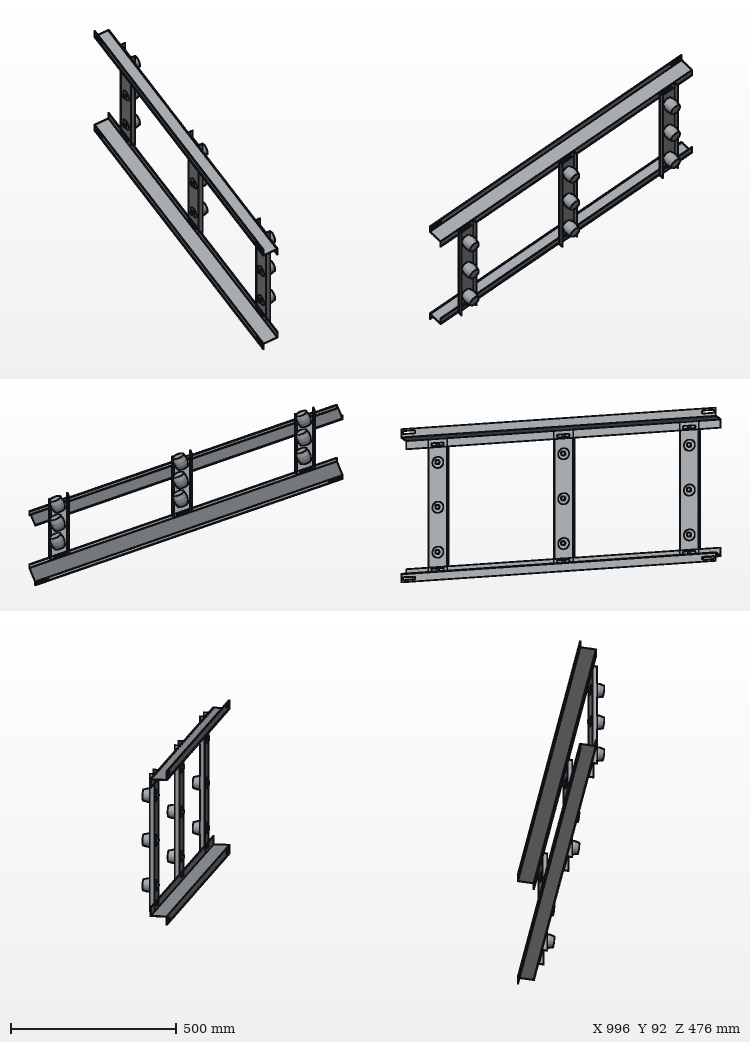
import cadquery as cq

rail_length = 996.0
frame_height = 476.0
frame_depth = 92.0
sheet = 2.0

rail_depth = 51.0
lip_height = 27.0
rail_height = 2 * lip_height - sheet
outer_edge_z = frame_height / 2
web_outer_z = outer_edge_z - lip_height + sheet
web_inner_z = outer_edge_z - lip_height
inner_edge_z = outer_edge_z - rail_height

slot_length = 40.0
slot_width = 9.0
bolt_hole_diameter = slot_width
end_slot_inset = 24.0
outer_slot_inset = 11.0
inner_slot_inset = 9.0
end_slot_x = rail_length / 2 - end_slot_inset
end_slot_z = outer_edge_z - outer_slot_inset
post_slot_z = inner_edge_z + inner_slot_inset

post_spacing = 398.0
post_width = 61.0
post_depth = 16.0
post_positions = [-post_spacing, 0, post_spacing]

buffer_spacing = 139.0
buffer_positions = [-buffer_spacing, 0, buffer_spacing]
buffer_end_diameter = 35.0
buffer_band_diameter = 42.0
band_front_y = 66.0
band_back_y = 78.0
end_plate = 1.0
stud_diameter = 13.0
stud_length = 6.0


def make_rail():
    """Upper Z-shaped rail with its mounting slots."""
    profile = [
        (0, web_inner_z),
        (0, outer_edge_z),
        (sheet, outer_edge_z),
        (sheet, web_outer_z),
        (rail_depth, web_outer_z),
        (rail_depth, inner_edge_z),
        (rail_depth - sheet, inner_edge_z),
        (rail_depth - sheet, web_inner_z),
    ]
    rail = cq.Workplane("YZ").polyline(profile).close().extrude(rail_length / 2, both=True)
    slot_centres = [(side * end_slot_x, end_slot_z) for side in (-1, 1)]
    slot_centres += [(x, post_slot_z) for x in post_positions]
    slots = (
        cq.Workplane("XZ")
        .pushPoints(slot_centres)
        .slot2D(slot_length, slot_width)
        .extrude(-rail_depth)
    )
    return rail.cut(slots)


def make_post():
    """U-channel standing against the back of the rails, open to the back."""
    height = 2 * web_outer_z
    post = (
        cq.Workplane("XZ", origin=(0, rail_depth, 0))
        .rect(post_width, height)
        .extrude(-post_depth)
    )
    channel = (
        cq.Workplane("XZ", origin=(0, rail_depth + sheet, 0))
        .rect(post_width - 2 * sheet, height)
        .extrude(-post_depth)
    )
    bolt_holes = (
        cq.Workplane("XZ", origin=(0, rail_depth, 0))
        .pushPoints([(0, -post_slot_z), (0, post_slot_z)])
        .circle(bolt_hole_diameter / 2)
        .extrude(-sheet)
    )
    return post.cut(channel).cut(bolt_holes)


def make_buffer():
    """Double-tapered buffer and its stud, turned about the Y axis."""
    base_y = rail_depth + sheet
    stud_y = rail_depth - stud_length
    end_radius = buffer_end_diameter / 2
    band_radius = buffer_band_diameter / 2
    stud_radius = stud_diameter / 2
    profile = [
        (0, stud_y),
        (stud_radius, stud_y),
        (stud_radius, base_y),
        (end_radius, base_y),
        (band_radius, band_front_y),
        (band_radius, band_back_y),
        (end_radius, frame_depth - end_plate),
        (end_radius, frame_depth),
        (0, frame_depth),
    ]
    return cq.Workplane("XY").polyline(profile).close().revolve(360, (0, 0, 0), (0, 1, 0))


upper_rail = make_rail()
result = upper_rail.union(upper_rail.mirror("XY"))
post = make_post()
rubber_buffer = make_buffer()
for x in post_positions:
    result = result.union(post.translate((x, 0, 0)))
    for z in buffer_positions:
        result = result.union(rubber_buffer.translate((x, 0, z)))